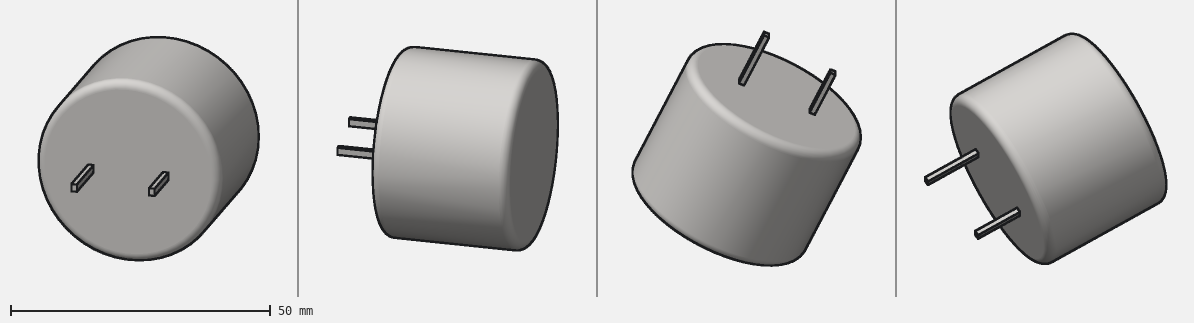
import cadquery as cq

overall_length = 39.0
long_pin_length = 11.5
short_pin_length = 9.5
can_diameter = 37.0
edge_radius = 1.75
pin_width = 1.1
pin_height = 1.5
pin_spacing = 15.0

can_length = overall_length - long_pin_length


def make_can():
    """Round body from Y = 0 to Y = can_length with both rims rounded."""
    can = cq.Workplane("XZ").circle(can_diameter / 2).extrude(-can_length)
    return can.edges("%CIRCLE").fillet(edge_radius)


def make_pin(x, length):
    """Rectangular pin standing out of the can's -Y face."""
    return cq.Workplane("XZ").center(x, 0).rect(pin_width, pin_height).extrude(length)


result = (
    make_can()
    .union(make_pin(-pin_spacing / 2, long_pin_length))
    .union(make_pin(pin_spacing / 2, short_pin_length))
)